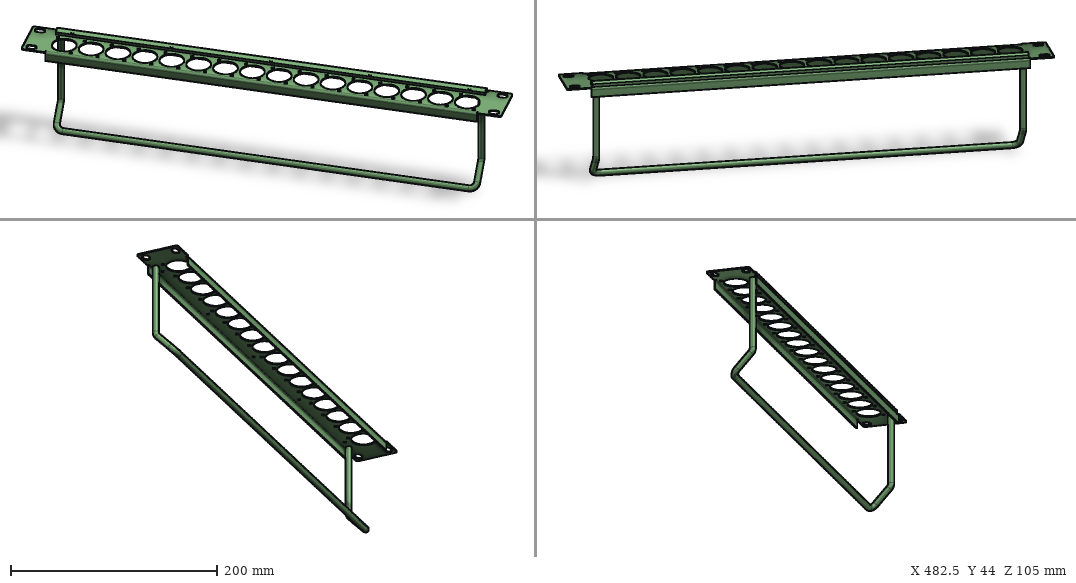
import cadquery as cq
import math

PANEL_LENGTH = 482.5
PANEL_WIDTH = 44.0
SHEET = 1.2
CORNER_RADIUS = 2.5

FLANGE_LENGTH = 434.5
FLANGE_HEIGHT = 10.0
BEND_RADIUS = 2.5

RIB_LENGTH = 432.0
RIB_Y = 16.5
RIB_WIDTH = 8.5
RIB_FOOT_WIDTH = 8.0
RIB_HEIGHT = 4.5
RIB_SIDE_HEIGHT = 3.0

RIB_HOLE_COUNT = 5
RIB_HOLE_PITCH = 100.0
RIB_HOLE_DIAMETER = 2.5
RIB_HOLE_Y = 14.5
RIB_HOLE_TOP_Z = 3.0

SLOT_LENGTH = 10.0
SLOT_WIDTH = 6.8
SLOT_SPACING_X = 465.0
SLOT_SPACING_Y = 32.0

OPENING_COUNT = 16
OPENING_PITCH = 27.0
OPENING_DIAMETER = 24.0
OPENING_Y = -4.5
SCREW_DIAMETER = 2.8
SCREW_OFFSET_X = 9.5
SCREW_OFFSET_Y = 12.0

BAR_DIAMETER = 6.5
BAR_BEND_RADIUS = 7.0
LEG_X = 211.5
LEG_Y = 16.0
LEG_TOP_Z = -SHEET / 2
TOTAL_HEIGHT = 105.0
CROSS_BAR_Y = -5.0
LEG_ANGLE = math.radians(43)

THREAD_DIAMETER = 2.5
THREAD_DEPTH = 8.5
CORE_DIAMETER = 2.3
CORE_DEPTH = 14.5


def make_panel():
    """Flat sheet with its two flanges."""
    sheet = (
        cq.Workplane("XY")
        .box(PANEL_LENGTH, PANEL_WIDTH, SHEET, centered=(True, True, False))
        .translate((0, 0, -SHEET))
        .edges("|Z")
        .fillet(CORNER_RADIUS)
    )
    channel = (
        cq.Workplane("XY")
        .box(FLANGE_LENGTH, PANEL_WIDTH, FLANGE_HEIGHT, centered=(True, True, False))
        .translate((0, 0, -FLANGE_HEIGHT))
        .edges("|X and >Z")
        .fillet(BEND_RADIUS)
    )
    cavity = (
        cq.Workplane("XY")
        .box(FLANGE_LENGTH, PANEL_WIDTH - 2 * SHEET, FLANGE_HEIGHT, centered=(True, True, False))
        .translate((0, 0, -FLANGE_HEIGHT - SHEET))
        .edges("|X and >Z")
        .fillet(BEND_RADIUS - SHEET)
    )
    middle = cq.Workplane("XY").box(FLANGE_LENGTH, PANEL_WIDTH, 2 * FLANGE_HEIGHT)
    return sheet.cut(middle).union(channel.cut(cavity))


def make_rib():
    """Solid rib standing on the sheet, with an arched top."""
    foot_z = -SHEET / 2
    return (
        cq.Workplane("YZ", origin=(-RIB_LENGTH / 2, RIB_Y, 0))
        .moveTo(-RIB_FOOT_WIDTH / 2, foot_z)
        .lineTo(-RIB_WIDTH / 2, RIB_SIDE_HEIGHT)
        .threePointArc((0, RIB_HEIGHT), (RIB_WIDTH / 2, RIB_SIDE_HEIGHT))
        .lineTo(RIB_FOOT_WIDTH / 2, foot_z)
        .close()
        .extrude(RIB_LENGTH)
    )


def rib_holes():
    """Row of blind holes from the underside of the sheet into the rib."""
    return (
        cq.Workplane("XY", origin=(0, RIB_HOLE_Y, -SHEET))
        .rarray(RIB_HOLE_PITCH, 5, RIB_HOLE_COUNT, 1)
        .circle(RIB_HOLE_DIAMETER / 2)
        .extrude(SHEET + RIB_HOLE_TOP_Z)
    )


def cut_holes(panel):
    """Mounting slots, connector openings and their screw holes."""
    slots = (
        cq.Workplane("XY")
        .rect(SLOT_SPACING_X, SLOT_SPACING_Y, forConstruction=True)
        .vertices()
        .slot2D(SLOT_LENGTH, SLOT_WIDTH)
        .extrude(-SHEET)
    )
    first_x = -OPENING_PITCH * (OPENING_COUNT - 1) / 2
    centres = [(first_x + i * OPENING_PITCH, OPENING_Y) for i in range(OPENING_COUNT)]
    screws = [
        (x + side * SCREW_OFFSET_X, y - side * SCREW_OFFSET_Y)
        for x, y in centres
        for side in (-1, 1)
    ]
    openings = cq.Workplane("XY").pushPoints(centres).circle(OPENING_DIAMETER / 2).extrude(-SHEET)
    screw_holes = cq.Workplane("XY").pushPoints(screws).circle(SCREW_DIAMETER / 2).extrude(-SHEET)
    return panel.cut(slots).cut(openings).cut(screw_holes)


def arc_between(corner, start_direction, end_direction):
    """Start, middle and end of the bar's bend arc at a corner of its centre line."""
    turn = start_direction.getAngle(end_direction)
    setback = BAR_BEND_RADIUS * math.tan(turn / 2)
    start = corner - start_direction * setback
    end = corner + end_direction * setback
    inward = (end_direction - start_direction).normalized()
    to_arc = BAR_BEND_RADIUS * (1 / math.cos(turn / 2) - 1)
    return start, corner + inward * to_arc, end


def make_bar():
    """Round bar swept along a centre line with rounded corners."""
    cross_z = RIB_HEIGHT - TOTAL_HEIGHT + BAR_DIAMETER / 2
    knee_z = cross_z + (LEG_Y - CROSS_BAR_Y) / math.tan(LEG_ANGLE)
    corners = [
        cq.Vector(-LEG_X, LEG_Y, LEG_TOP_Z),
        cq.Vector(-LEG_X, LEG_Y, knee_z),
        cq.Vector(-LEG_X, CROSS_BAR_Y, cross_z),
        cq.Vector(LEG_X, CROSS_BAR_Y, cross_z),
        cq.Vector(LEG_X, LEG_Y, knee_z),
        cq.Vector(LEG_X, LEG_Y, LEG_TOP_Z),
    ]
    directions = [(b - a).normalized() for a, b in zip(corners, corners[1:])]
    edges = []
    position = corners[0]
    for corner, arriving, leaving in zip(corners[1:], directions, directions[1:]):
        start, middle, end = arc_between(corner, arriving, leaving)
        edges.append(cq.Edge.makeLine(position, start))
        edges.append(cq.Edge.makeThreePointArc(start, middle, end))
        position = end
    edges.append(cq.Edge.makeLine(position, corners[-1]))
    path = cq.Workplane(cq.Wire.assembleEdges(edges))
    profile = cq.Workplane("XY", origin=corners[0].toTuple()).circle(BAR_DIAMETER / 2)
    return profile.sweep(path)


def leg_bores():
    """Stepped bores running down the axis of each leg from the underside of the sheet."""
    tops = cq.Workplane("XY", origin=(0, LEG_Y, -SHEET)).pushPoints([(-LEG_X, 0), (LEG_X, 0)])
    threads = tops.circle(THREAD_DIAMETER / 2).extrude(-THREAD_DEPTH)
    cores = tops.circle(CORE_DIAMETER / 2).extrude(-CORE_DEPTH)
    return threads.union(cores)


panel = cut_holes(make_panel()).union(make_rib())
result = panel.union(make_bar()).cut(rib_holes()).cut(leg_bores())